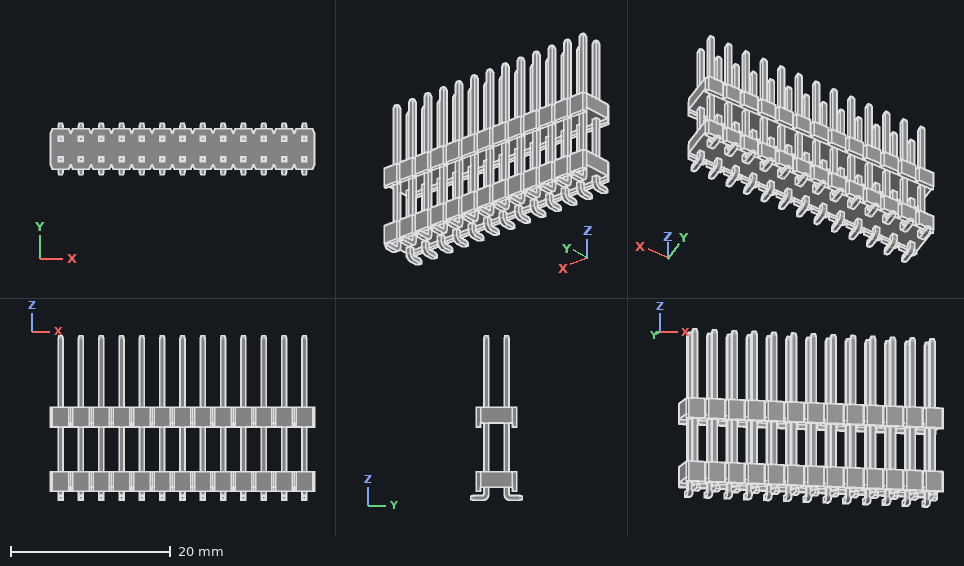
import cadquery as cq

PITCH = 2.54
COLUMNS = 13
ROWS = 2

PIN_SIZE = 0.64
PIN_TOP_Z = 20.62
TIP_LENGTH = 0.4
TIP_SIZE = 0.4
BEND_INNER_RADIUS = 0.16
FOOT_SPAN = 6.5

BODY_HEIGHT = 2.5
BODY_BASES_Z = (1.12, 9.16)
CHANNEL_DEPTH = 0.5
WALL_THICKNESS = 0.54
CORNER_LENGTH = 0.25
CORNER_DEPTH = 0.54
NOTCH_OVERRUN = 0.02

BODY_LENGTH = COLUMNS * PITCH
BODY_WIDTH = ROWS * PITCH
CHANNEL_WIDTH = BODY_WIDTH - 2 * WALL_THICKNESS
NOTCH_DEPTH = WALL_THICKNESS + NOTCH_OVERRUN
BEND_OUTER_RADIUS = BEND_INNER_RADIUS + PIN_SIZE
ROW_Y = PITCH / 2
COLUMN_XS = [(i - (COLUMNS - 1) / 2) * PITCH for i in range(COLUMNS)]
JOINT_XS = [x + PITCH / 2 for x in COLUMN_XS[:-1]]


def mirrored_pair(shape, plane):
    """The shape together with its mirror image across a plane through the origin."""
    return shape.union(shape.mirror(plane))


def notch_cutter(x):
    """V-shaped prism that marks the joint between two columns on the +Y side."""
    outer_y = BODY_WIDTH / 2
    return (
        cq.Workplane("XY")
        .moveTo(x - CORNER_LENGTH, outer_y)
        .lineTo(x, outer_y - NOTCH_DEPTH)
        .lineTo(x + CORNER_LENGTH, outer_y)
        .close()
        .extrude(BODY_HEIGHT)
    )


def insulator_body():
    """Insulator with bevelled corners, joint notches and underside channel, standing on Z = 0."""
    end_x = BODY_LENGTH / 2
    side_y = BODY_WIDTH / 2
    body = (
        cq.Workplane("XY")
        .moveTo(-end_x, 0)
        .lineTo(-end_x, side_y - CORNER_DEPTH)
        .lineTo(-end_x + CORNER_LENGTH, side_y)
        .lineTo(end_x - CORNER_LENGTH, side_y)
        .lineTo(end_x, side_y - CORNER_DEPTH)
        .lineTo(end_x, 0)
        .close()
        .extrude(BODY_HEIGHT)
    )
    for x in JOINT_XS:
        body = body.cut(notch_cutter(x))
    body = mirrored_pair(body, "XZ")
    channel = cq.Workplane("XY").box(
        BODY_LENGTH, CHANNEL_WIDTH, CHANNEL_DEPTH, centered=(True, True, False)
    )
    return body.cut(channel)


def tapered_tip(base_plane):
    """Four-sided tapered end that grows from the given plane along its normal."""
    return (
        cq.Workplane(base_plane)
        .rect(PIN_SIZE, PIN_SIZE)
        .workplane(offset=TIP_LENGTH)
        .rect(TIP_SIZE, TIP_SIZE)
        .loft(ruled=True)
    )


def bent_pin():
    """Pin of the -Y row at X = 0: upright shank, bend and foot pointing to -Y."""
    foot_base_y = -(FOOT_SPAN / 2 - TIP_LENGTH)
    shank_top_z = PIN_TOP_Z - TIP_LENGTH
    shank_length = shank_top_z - BEND_OUTER_RADIUS
    bend_axis_y = -ROW_Y - PIN_SIZE / 2 - BEND_INNER_RADIUS
    foot_length = bend_axis_y - foot_base_y
    foot_center_z = PIN_SIZE / 2

    foot_base = cq.Plane(
        origin=(0, foot_base_y, foot_center_z), xDir=(1, 0, 0), normal=(0, -1, 0)
    )
    path = (
        cq.Workplane("YZ")
        .moveTo(-ROW_Y, shank_top_z)
        .line(0, -shank_length)
        .radiusArc((bend_axis_y, foot_center_z), BEND_INNER_RADIUS + PIN_SIZE / 2)
        .line(-foot_length, 0)
    )
    shank_top = cq.Plane(origin=(0, -ROW_Y, shank_top_z), xDir=(1, 0, 0), normal=(0, 0, 1))
    wire = cq.Workplane(shank_top).rect(PIN_SIZE, PIN_SIZE).sweep(path)
    return wire.union(tapered_tip(shank_top)).union(tapered_tip(foot_base))


parts = cq.Workplane("XY")
body = insulator_body()
for base_z in BODY_BASES_Z:
    parts = parts.add(body.translate((0, 0, base_z)))

pin_pair = mirrored_pair(bent_pin(), "XZ")
for x in COLUMN_XS:
    parts = parts.add(pin_pair.translate((x, 0, 0)).solids())

result = parts.combine()